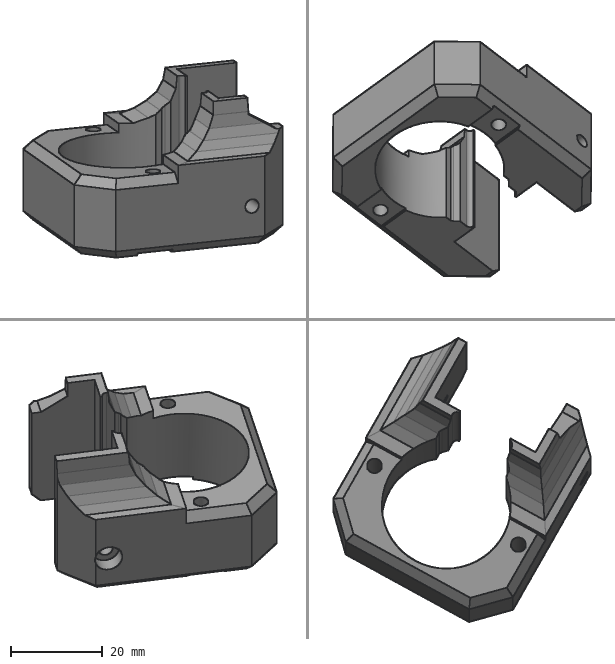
import cadquery as cq

WIDTH = 45.0
LENGTH = 48.95
HEIGHT = 31.4
CORNER_CUT = 7.05
EDGE_CHAMFER = 2.0

BASE_HEIGHT = 18.0
WALL_START_Y = 21.65

FACETS = [
    (WIDTH / 2, WALL_START_Y, 20.15),
    (20.55, 24.65, 20.22),
    (18.8, 27.33, 21.7),
    (17.25, 29.6, 23.55),
    (15.85, 31.5, 25.75),
    (15.2, 32.7, 28.5),
    (14.6, 33.0, HEIGHT),
]

BORE_RADIUS = 14.1
BORE_Y = 17.5
SHOULDER_HALF_WIDTH = 8.75
SHOULDER_END_Y = 29.9
FLANK_HALF_WIDTH = 8.4
NECK_HALF_WIDTH = 7.4
NECK_START_Y = 31.5
LIP_HALF_WIDTH = 6.3
LIP_START_Y = 34.5
CHANNEL_HALF_WIDTH = 12.55
CHANNEL_START_Y = 34.95

PIN_RADIUS = 1.6
PIN_SPACING = 36.05
CROSS_HOLE_RADIUS = 1.55
CROSS_HOLE_Y = 39.0
CROSS_HOLE_Z = 9.05
COUNTERBORE_RADIUS = 3.05
COUNTERBORE_DEPTH = 3.4

GROOVE_START_Y = 12.8
GROOVE_WIDTH = 8.15
GROOVE_DEPTH = 0.7

RELIEF_START_Y = 41.0
RELIEF_START_Z = 27.75
RELIEF_FLAT_Y = 46.9
RELIEF_FLAT_Z = 24.3


def octagon_block(height):
    """Block with cut upright corners and a chamfered underside."""
    block = cq.Workplane("XY").box(WIDTH, LENGTH, height, centered=(True, False, False))
    return block.edges("|Z").chamfer(CORNER_CUT).faces("<Z").edges().chamfer(EDGE_CHAMFER)


def extrude_along_x(points, start_x, end_x):
    """Solid from (y, z) points, running from start_x to end_x."""
    return cq.Workplane("YZ", origin=(start_x, 0, 0)).polyline(points).close().extrude(end_x - start_x)


def base():
    return octagon_block(BASE_HEIGHT).faces(">Z").edges().chamfer(EDGE_CHAMFER)


def raised_walls():
    """Full-height rear block trimmed by the faceted sweep on its front and both sides."""
    front_profile = [(y, z) for _, y, z in FACETS]
    front_profile += [(LENGTH, HEIGHT), (LENGTH, 0), (WALL_START_Y, 0)]
    front_trim = extrude_along_x(front_profile, -WIDTH / 2, WIDTH / 2)

    right_side = [(x, z) for x, _, z in FACETS]
    left_side = [(-x, z) for x, z in reversed(right_side)]
    side_profile = [(-WIDTH / 2, 0), (WIDTH / 2, 0)] + right_side + left_side
    side_trim = cq.Workplane("XZ").polyline(side_profile).close().extrude(-LENGTH)

    return octagon_block(HEIGHT).intersect(front_trim).intersect(side_trim)


def bore_and_opening():
    """Round bore that opens through a stepped neck into the rear channel."""
    flank_start_y = NECK_START_Y - (FLANK_HALF_WIDTH - NECK_HALF_WIDTH)
    lip_radius = NECK_HALF_WIDTH - LIP_HALF_WIDTH
    half_opening = (
        cq.Workplane("XY")
        .moveTo(0, BORE_Y)
        .lineTo(SHOULDER_HALF_WIDTH, BORE_Y)
        .lineTo(SHOULDER_HALF_WIDTH, SHOULDER_END_Y)
        .lineTo(FLANK_HALF_WIDTH, flank_start_y)
        .lineTo(NECK_HALF_WIDTH, NECK_START_Y)
        .lineTo(NECK_HALF_WIDTH, LIP_START_Y - lip_radius)
        .radiusArc((LIP_HALF_WIDTH, LIP_START_Y), -lip_radius)
        .lineTo(LIP_HALF_WIDTH, CHANNEL_START_Y)
        .lineTo(CHANNEL_HALF_WIDTH, CHANNEL_START_Y)
        .lineTo(CHANNEL_HALF_WIDTH, LENGTH)
        .lineTo(0, LENGTH)
        .close()
        .extrude(HEIGHT)
    )
    bore = cq.Workplane("XY").center(0, BORE_Y).circle(BORE_RADIUS).extrude(HEIGHT)
    return bore.union(half_opening).union(half_opening.mirror("YZ"))


def pin_holes():
    """Two upright through holes beside the bore."""
    centres = [(-PIN_SPACING / 2, BORE_Y), (PIN_SPACING / 2, BORE_Y)]
    return cq.Workplane("XY").pushPoints(centres).circle(PIN_RADIUS).extrude(HEIGHT)


def cross_hole():
    """Hole through both arms with a counterbore on the -X side."""
    start = cq.Workplane("YZ", origin=(-WIDTH / 2, CROSS_HOLE_Y, CROSS_HOLE_Z))
    counterbore = start.circle(COUNTERBORE_RADIUS).extrude(COUNTERBORE_DEPTH)
    return start.circle(CROSS_HOLE_RADIUS).extrude(WIDTH).union(counterbore)


def underside_groove():
    groove = cq.Workplane("XY").box(WIDTH, GROOVE_WIDTH, GROOVE_DEPTH, centered=(True, False, False))
    return groove.translate((0, GROOVE_START_Y, 0))


def arm_relief():
    """Slope and rear flat cut into the top of the +X arm."""
    profile = [
        (RELIEF_START_Y, HEIGHT),
        (RELIEF_START_Y, RELIEF_START_Z),
        (RELIEF_FLAT_Y, RELIEF_FLAT_Z),
        (LENGTH, RELIEF_FLAT_Z),
        (LENGTH, HEIGHT),
    ]
    return extrude_along_x(profile, 0, WIDTH / 2)


result = (
    base()
    .union(raised_walls())
    .cut(bore_and_opening())
    .cut(pin_holes())
    .cut(cross_hole())
    .cut(underside_groove())
    .cut(arm_relief())
)